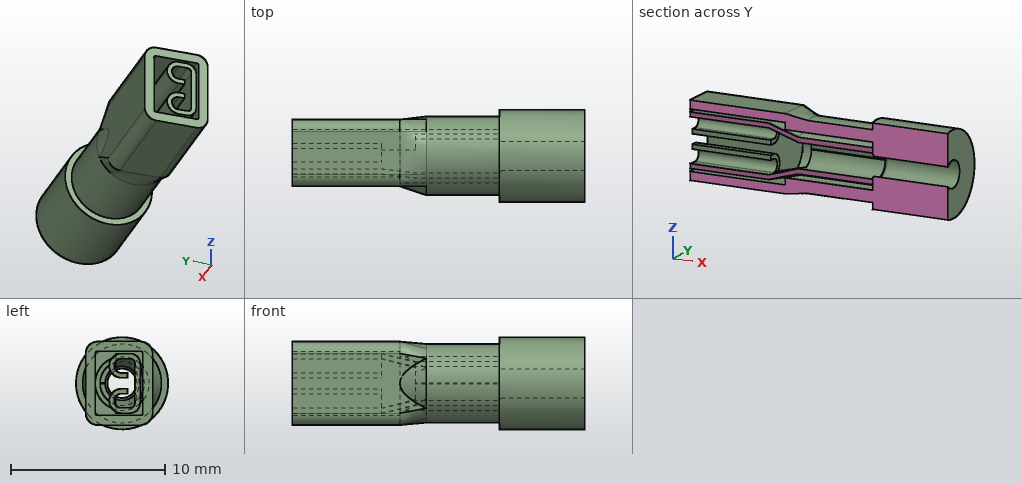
import cadquery as cq
import math

arc_inset = 1 - math.sqrt(0.5)

box_length = 7.0
neck_start = 5.8
neck_end = 8.0
transition_end = 8.7
collar_start = 13.45
total_length = 19.0

box_width = 4.345
box_height = 5.43
box_center_y = 0.19
box_corner_radius = 0.78
wall = 0.63
body_radius = 2.56
collar_radius = 3.0
bore_radius = 1.74
wire_hole_radius = 0.945
wire_hole_rounding = 0.175

sheet = 0.33
back_y = -1.17
receptacle_half_height = 1.93
back_corner_radius = 0.64
curl_radius = 0.79
curl_center_y = 0.04
curl_tip_y = -0.37
neck_edge_y = 0.4
barrel_radius = 1.43
barrel_seam = 0.06
neck_bend_start = math.radians(115)
neck_bend_end = math.radians(155)


def section(x):
    """Sketch plane across the part: local x is Y, local y is Z."""
    return cq.Workplane("YZ", origin=(x, 0, 0))


def disc(x_start, x_end, radius):
    return section(x_start).circle(radius).extrude(x_end - x_start)


def polar(radius, angle):
    return (radius * math.cos(angle), radius * math.sin(angle))


def mirrored(point):
    return (point[0], -point[1])


def rounded_box(length, width, height, corner_radius):
    box = section(0).center(box_center_y, 0).rect(width, height).extrude(length)
    return box.edges("|X").fillet(corner_radius)


def box_outline(sketch):
    """Mouth outline, drawn as four sides and four corner arcs."""
    right = box_center_y + box_width / 2
    left = box_center_y - box_width / 2
    top = box_height / 2
    inset = box_corner_radius
    mid = inset * arc_inset
    return (
        sketch.moveTo(left, -top + inset)
        .lineTo(left, top - inset)
        .threePointArc((left + mid, top - mid), (left + inset, top))
        .lineTo(right - inset, top)
        .threePointArc((right - mid, top - mid), (right, top - inset))
        .lineTo(right, -top + inset)
        .threePointArc((right - mid, -top + mid), (right - inset, -top))
        .lineTo(left + inset, -top)
        .threePointArc((left + mid, -top + mid), (left, -top + inset))
        .close()
    )


def clipped_circle(sketch):
    """Body circle cut off flat by the two side planes of the box."""
    right = box_center_y + box_width / 2
    left = box_center_y - box_width / 2
    right_angle = math.acos(right / body_radius)
    left_angle = math.acos(left / body_radius)
    top_right = math.acos((right - box_corner_radius) / body_radius)
    top_left = math.acos((left + box_corner_radius) / body_radius)
    angles = [left_angle, top_left, top_right, right_angle]
    upper = [polar(body_radius, a) for a in angles]
    upper_mids = [polar(body_radius, (a + b) / 2) for a, b in zip(angles, angles[1:])]

    sketch = sketch.moveTo(*mirrored(upper[0])).lineTo(*upper[0])
    for middle, end in zip(upper_mids, upper[1:]):
        sketch = sketch.threePointArc(middle, end)
    sketch = sketch.lineTo(*mirrored(upper[-1]))
    for middle, end in zip(reversed(upper_mids), reversed(upper[:-1])):
        sketch = sketch.threePointArc(mirrored(middle), mirrored(end))
    return sketch.close()


def transition():
    """Box-to-body blend: a flat-sided loft joined with a leaning cone."""
    length = transition_end - box_length
    blend = clipped_circle(box_outline(section(box_length)).workplane(offset=length))
    blend = blend.loft(ruled=True)
    cone = (
        section(box_length).center(box_center_y, 0).circle(box_width / 2)
        .workplane(offset=length).center(-box_center_y, 0).circle(body_radius)
        .loft(ruled=True)
    )
    return blend.union(cone)


def wire_hole():
    """Hole along the collar axis, with its edge at the bore floor rounded over."""
    mouth_radius = wire_hole_radius + wire_hole_rounding
    throat = collar_start + wire_hole_rounding
    mid = wire_hole_rounding * arc_inset
    half_profile = (
        cq.Workplane("XY").moveTo(collar_start, 0)
        .lineTo(collar_start, mouth_radius)
        .threePointArc((collar_start + mid, wire_hole_radius + mid), (throat, wire_hole_radius))
        .lineTo(total_length, wire_hole_radius)
        .lineTo(total_length, 0)
        .close()
    )
    return half_profile.revolve(360, (0, 0, 0), (1, 0, 0))


def make_housing():
    shell = rounded_box(box_length, box_width, box_height, box_corner_radius)
    shell = shell.union(transition())
    shell = shell.union(disc(transition_end, collar_start, body_radius))
    shell = shell.union(disc(collar_start, total_length, collar_radius))
    cavity = rounded_box(
        box_length, box_width - 2 * wall, box_height - 2 * wall, box_corner_radius - wall
    )
    bore = disc(box_length, collar_start, bore_radius)
    return shell.cut(cavity).cut(bore).cut(wire_hole())


def back_corner(offset):
    """Start, middle and end of the upper back corner, at a depth into the sheet."""
    top = receptacle_half_height - offset
    back = back_y + offset
    bend = back_corner_radius - offset
    bend_mid = bend * arc_inset
    return [
        (back + bend, top),
        (back + bend_mid, top - bend_mid),
        (back, top - bend),
    ]


def receptacle():
    """Sheet with a flat back whose two long edges curl round to the inside."""
    curl_center_z = receptacle_half_height - curl_radius

    def curl(offset):
        """Upper curl from its top round to its free tip."""
        radius = curl_radius - offset
        return [
            (curl_center_y, curl_center_z + radius),
            (curl_center_y + radius, curl_center_z),
            (curl_center_y, curl_center_z - radius),
            (curl_tip_y, curl_center_z - radius),
        ]

    outer_top, outer_mid, outer_bottom, outer_tip = curl(0)
    inner_top, inner_mid, inner_bottom, inner_tip = curl(sheet)
    outer_bend = back_corner(0)
    inner_bend = back_corner(sheet)
    profile = (
        section(0).moveTo(*outer_tip).lineTo(*outer_bottom)
        .threePointArc(outer_mid, outer_top)
        .lineTo(*outer_bend[0]).threePointArc(outer_bend[1], outer_bend[2])
        .lineTo(*mirrored(outer_bend[2]))
        .threePointArc(mirrored(outer_bend[1]), mirrored(outer_bend[0]))
        .lineTo(*mirrored(outer_top))
        .threePointArc(mirrored(outer_mid), mirrored(outer_bottom))
        .lineTo(*mirrored(outer_tip)).lineTo(*mirrored(inner_tip))
        .lineTo(*mirrored(inner_bottom))
        .threePointArc(mirrored(inner_mid), mirrored(inner_top))
        .lineTo(*mirrored(inner_bend[0]))
        .threePointArc(mirrored(inner_bend[1]), mirrored(inner_bend[2]))
        .lineTo(*inner_bend[2]).threePointArc(inner_bend[1], inner_bend[0])
        .lineTo(*inner_top).threePointArc(inner_mid, inner_bottom)
        .lineTo(*inner_tip).close()
    )
    return profile.extrude(neck_start)


def channel_outline(sketch):
    """Open U of sheet at the receptacle end of the neck."""
    outer_bend = back_corner(0)
    inner_bend = back_corner(sheet)
    outer_edge = (neck_edge_y, receptacle_half_height)
    inner_edge = (neck_edge_y, receptacle_half_height - sheet)
    return (
        sketch.moveTo(*outer_edge)
        .lineTo(*outer_bend[0]).threePointArc(outer_bend[1], outer_bend[2])
        .lineTo(*mirrored(outer_bend[2]))
        .threePointArc(mirrored(outer_bend[1]), mirrored(outer_bend[0]))
        .lineTo(*mirrored(outer_edge)).lineTo(*mirrored(inner_edge))
        .lineTo(*mirrored(inner_bend[0]))
        .threePointArc(mirrored(inner_bend[1]), mirrored(inner_bend[2]))
        .lineTo(*inner_bend[2]).threePointArc(inner_bend[1], inner_bend[0])
        .lineTo(*inner_edge).close()
    )


def barrel_arc(sketch):
    """Part of the barrel ring that the neck runs into, split like the open U."""
    inner_radius = barrel_radius - sheet

    def angles(radius):
        edge = math.acos(neck_edge_y / radius)
        upper = [edge, neck_bend_start, neck_bend_end]
        return upper + [2 * math.pi - angle for angle in reversed(upper)]

    def follow(path, radius, stops):
        for start, end in zip(stops, stops[1:]):
            path = path.threePointArc(polar(radius, (start + end) / 2), polar(radius, end))
        return path

    outer = angles(barrel_radius)
    inner = angles(inner_radius)[::-1]
    sketch = follow(sketch.moveTo(*polar(barrel_radius, outer[0])), barrel_radius, outer)
    sketch = follow(sketch.lineTo(*polar(inner_radius, inner[0])), inner_radius, inner)
    return sketch.close()


def neck():
    start = channel_outline(section(neck_start))
    return barrel_arc(start.workplane(offset=neck_end - neck_start)).loft(ruled=True)


def barrel():
    """Rolled crimp tube with its seam on the +Y side."""
    length = collar_start - neck_end
    tube = disc(neck_end, collar_start, barrel_radius)
    tube = tube.cut(disc(neck_end, collar_start, barrel_radius - sheet))
    seam = section(neck_end).center(barrel_radius, 0).rect(barrel_radius, barrel_seam)
    return tube.cut(seam.extrude(length))


def make_terminal():
    return receptacle().union(neck()).union(barrel())


housing = make_housing()
terminal = make_terminal()
result = cq.Compound.makeCompound([housing.solids().val(), terminal.solids().val()])